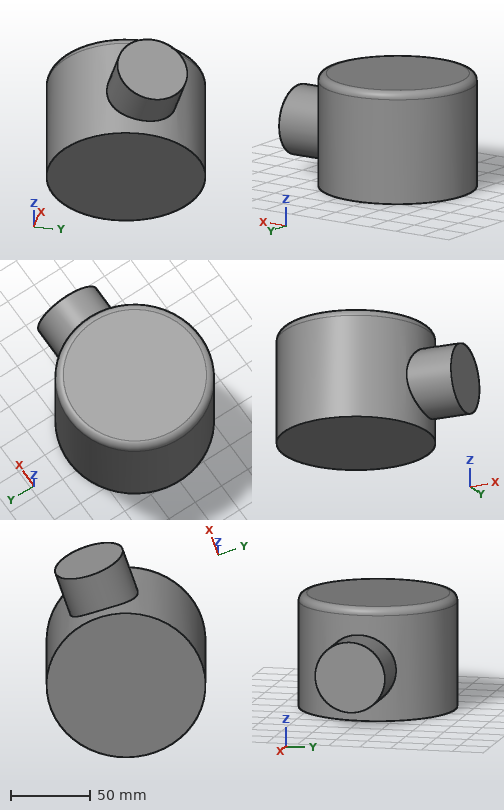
import cadquery as cq

body_diameter = 100.0
body_height = 72.8
rim_radius = 5.0

spout_diameter = 45.0
spout_axis_height = 32.5
spout_end_x = 75.0


def make_body():
    """Solid cylinder with a rounded top rim."""
    cylinder = cq.Workplane("XY").circle(body_diameter / 2).extrude(body_height)
    return cylinder.faces(">Z").edges().fillet(rim_radius)


def make_spout():
    """Horizontal stub running from the body axis out to its free end."""
    axis_plane = cq.Workplane("YZ").center(0, spout_axis_height)
    return axis_plane.circle(spout_diameter / 2).extrude(spout_end_x)


result = make_body().union(make_spout())